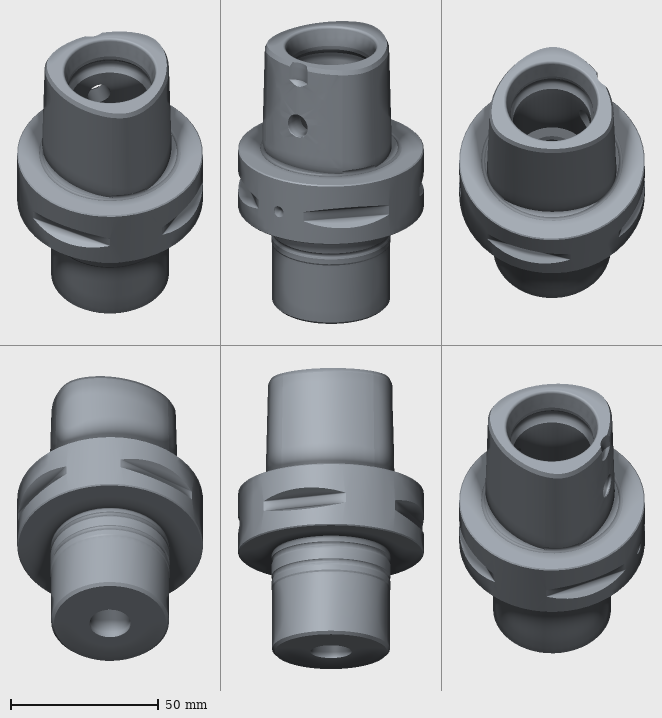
import cadquery as cq
import math

total_height = 95.0
shank_height = 38.0
flange_height = 22.0
flange_top_z = total_height - shank_height
flange_bottom_z = flange_top_z - flange_height
overlap = 0.95

lobe_count = 3
lobe_mean_diameter = 44.0
lobe_eccentricity = 1.4
shank_taper = 0.05
taper_start_height = 2.3
shank_chamfer_height = 1.5
shank_chamfer_width = 0.71
lobe_half_angle = 26.0
curve_steps = 8

flange_diameter = 63.0
flange_chamfer = 0.4
plateau_radius = 23.6
plateau_height = 0.2
relief_radius = 0.95
relief_ring_radius = 23.5
relief_center_height = 0.8

slot_count = 4
slot_z = 44.8
slot_floor_distance = 27.8
slot_floor_height = 3.4
slot_side_angle = 30.0
slot_corner_fillet = 0.4
index_hole_diameter = 4.0
index_hole_depth = 0.4

spindle_radius = 40.0 / 2
land_radius = 40.5 / 2
groove_bottom_radius = 19.8
neck_height = 1.1
neck_round_radius = 1.6
land_chamfer_height = 0.6
groove_height = 1.6
groove_edge_height = 0.2
first_land_height = 1.0
middle_land_height = 3.9
last_land_height = 1.8
spindle_end_chamfer = 0.95

mouth_radius = 16.3
mouth_round_radius = 1.0
upper_bore_radius = 15.4
upper_bore_start_depth = 0.8
throat_radius = 28.0 / 2
throat_start_depth = 6.5
throat_end_depth = 7.8
recess_radius = 15.2
recess_start_depth = 9.5
recess_end_depth = 10.5
seat_round_radius = 2.0
seat_radius = 14.6
seat_depth = 12.0
main_bore_radius = 13.3
main_bore_start_depth = seat_depth + seat_radius - main_bore_radius
main_bore_depth = shank_height
bolt_bore_mouth_radius = 9.8
bolt_bore_radius = 17.9 / 2
bolt_bore_depth = 19.0
through_radius = 14.0 / 2

drill_point_angle = 118.0
cross_hole_diameter = 8.1
cross_hole_z = 72.5
cross_hole_end_x = 15.2
cross_hole_chamfer = 0.3
notch_radius = 5.2
notch_inner_distance = 18.0
notch_depth = 6.4
notch_point_slope = 0.95


def ring_point(radius, depth):
    """Profile point at a radius and a depth below the top face."""
    return (radius, total_height - depth)


def lobe_outline(mean_diameter, z):
    """Closed three-lobed outline at height z, one curve per lobe and per flank."""
    def point(degrees):
        angle = math.radians(degrees)
        radius = mean_diameter / 2
        ecc = lobe_eccentricity
        x = radius * math.cos(angle) + 2 * ecc * math.cos(2 * angle) - ecc * math.cos(4 * angle)
        y = radius * math.sin(angle) - 2 * ecc * math.sin(2 * angle) - ecc * math.sin(4 * angle)
        return cq.Vector(x, y, z)

    def curve(start, sweep):
        angles = [start + sweep * i / curve_steps for i in range(curve_steps + 1)]
        return cq.Edge.makeSpline([point(angle) for angle in angles])

    lobe_spacing = 360 / lobe_count
    edges = []
    for i in range(lobe_count):
        lobe_angle = i * lobe_spacing
        edges.append(curve(lobe_angle - lobe_half_angle, 2 * lobe_half_angle))
        edges.append(curve(lobe_angle + lobe_half_angle, lobe_spacing - 2 * lobe_half_angle))
    return cq.Wire.assembleEdges(edges)


def shank_section(start_z, start_diameter, end_z, end_diameter):
    wires = [lobe_outline(start_diameter, start_z), lobe_outline(end_diameter, end_z)]
    return cq.Workplane(cq.Solid.makeLoft(wires, True))


def make_shank():
    taper_start_z = flange_top_z + taper_start_height
    chamfer_z = total_height - shank_chamfer_height
    foot_diameter = lobe_mean_diameter - shank_taper * taper_start_height
    shoulder_diameter = lobe_mean_diameter - shank_taper * (chamfer_z - flange_top_z)
    top_diameter = shoulder_diameter - 2 * shank_chamfer_width
    foot = shank_section(flange_top_z - overlap, foot_diameter, taper_start_z, foot_diameter)
    body = shank_section(taper_start_z, foot_diameter, chamfer_z, shoulder_diameter)
    tip = shank_section(chamfer_z, shoulder_diameter, total_height, top_diameter)
    return foot.union(body).union(tip)


def make_flange():
    disc = (
        cq.Workplane("XY", origin=(0, 0, flange_bottom_z))
        .circle(flange_diameter / 2).extrude(flange_height)
        .edges().chamfer(flange_chamfer)
    )
    plateau = (
        cq.Workplane("XY", origin=(0, 0, flange_top_z - overlap))
        .circle(plateau_radius).extrude(overlap + plateau_height)
    )
    return disc.union(plateau)


def make_relief_groove():
    return (
        cq.Workplane("XZ")
        .center(relief_ring_radius, flange_top_z + relief_center_height)
        .circle(relief_radius)
        .revolve(360, (-relief_ring_radius, 0), (-relief_ring_radius, 1))
    )


def make_spindle():
    z = flange_bottom_z
    profile = cq.Workplane("XZ").moveTo(0, z + overlap).lineTo(groove_bottom_radius, z + overlap)
    profile = profile.lineTo(groove_bottom_radius, z)
    z -= neck_height
    profile = profile.radiusArc((land_radius, z), neck_round_radius)
    for land_height in (first_land_height, middle_land_height):
        z -= land_height
        profile = profile.lineTo(land_radius, z)
        z -= groove_edge_height
        profile = profile.lineTo(spindle_radius, z)
        groove_end_z = z - groove_height + groove_edge_height
        profile = profile.threePointArc(
            (groove_bottom_radius, (z + groove_end_z) / 2), (spindle_radius, groove_end_z)
        )
        z = groove_end_z - land_chamfer_height
        profile = profile.lineTo(land_radius, z)
    z -= last_land_height
    profile = profile.lineTo(land_radius, z)
    z -= land_chamfer_height
    profile = profile.lineTo(spindle_radius, z)
    profile = profile.lineTo(spindle_radius, spindle_end_chamfer)
    profile = profile.lineTo(spindle_radius - spindle_end_chamfer, 0)
    return profile.lineTo(0, 0).close().revolve(360, (0, 0), (0, 1))


def make_bore():
    bolt_mouth_depth = main_bore_depth + bolt_bore_mouth_radius - bolt_bore_radius
    bolt_floor_depth = main_bore_depth + bolt_bore_depth
    point_height = (bolt_bore_radius - through_radius) / math.tan(math.radians(drill_point_angle / 2))
    return (
        cq.Workplane("XZ")
        .moveTo(*ring_point(0, 0))
        .lineTo(*ring_point(mouth_radius, 0))
        .radiusArc(ring_point(upper_bore_radius, upper_bore_start_depth), -mouth_round_radius)
        .lineTo(*ring_point(throat_radius, throat_start_depth))
        .lineTo(*ring_point(throat_radius, throat_end_depth))
        .lineTo(*ring_point(recess_radius, recess_start_depth))
        .lineTo(*ring_point(recess_radius, recess_end_depth))
        .radiusArc(ring_point(seat_radius, seat_depth), seat_round_radius)
        .lineTo(*ring_point(main_bore_radius, main_bore_start_depth))
        .lineTo(*ring_point(main_bore_radius, main_bore_depth))
        .lineTo(*ring_point(bolt_bore_mouth_radius, main_bore_depth))
        .lineTo(*ring_point(bolt_bore_radius, bolt_mouth_depth))
        .lineTo(*ring_point(bolt_bore_radius, bolt_floor_depth))
        .lineTo(*ring_point(through_radius, bolt_floor_depth + point_height))
        .lineTo(through_radius, 0)
        .lineTo(0, 0)
        .close()
        .revolve(360, (0, 0), (0, 1))
    )


def make_slots():
    """V-sided slots cut straight across the flange rim, between the axes."""
    outer = flange_diameter / 2 + overlap
    rise = (outer - slot_floor_distance) * math.tan(math.radians(slot_side_angle))
    half_floor = slot_floor_height / 2
    cutter = (
        cq.Workplane("XZ", origin=(0, 0, slot_z))
        .moveTo(slot_floor_distance, -half_floor)
        .lineTo(outer, -half_floor - rise)
        .lineTo(outer, half_floor + rise)
        .lineTo(slot_floor_distance, half_floor)
        .close()
        .extrude(flange_diameter / 2, both=True)
        .edges("|Y").edges("<X").fillet(slot_corner_fillet)
    )
    step = 360 / slot_count
    slots = cq.Workplane("XY")
    for i in range(slot_count):
        slots = slots.add(cutter.rotate((0, 0, 0), (0, 0, 1), step * (i + 0.5)))
    return slots.combine()


def make_drill(diameter, surface_x, depth, z):
    """Blind drilled hole entering from -X, with a conical point."""
    radius = diameter / 2
    outside_x = surface_x - radius
    tip_x = surface_x + depth + radius / math.tan(math.radians(drill_point_angle / 2))
    return (
        cq.Workplane("XZ", origin=(0, 0, z))
        .moveTo(outside_x, 0)
        .lineTo(outside_x, radius)
        .lineTo(surface_x + depth, radius)
        .lineTo(tip_x, 0)
        .close()
        .revolve(360, (0, 0), (1, 0))
    )


def make_countersink(diameter, surface_x, chamfer, z):
    """45 degree cone that breaks the mouth of a hole entering from -X."""
    cone_radius = diameter / 2 + chamfer
    return (
        cq.Workplane("XZ", origin=(0, 0, z))
        .moveTo(surface_x, 0)
        .lineTo(surface_x, cone_radius)
        .lineTo(surface_x + cone_radius, 0)
        .close()
        .revolve(360, (0, 0), (1, 0))
    )


def make_notch():
    """Round notch with a conical bottom in the top rim, leaning with the shank taper."""
    lean_angle = math.degrees(math.atan(shank_taper / 2))
    pivot = (-notch_inner_distance, 0, total_height)
    bottom_z = total_height - notch_depth
    return (
        cq.Workplane("XZ", origin=(-notch_inner_distance - notch_radius, 0, 0))
        .moveTo(0, total_height + overlap)
        .lineTo(notch_radius, total_height + overlap)
        .lineTo(notch_radius, bottom_z)
        .lineTo(0, bottom_z - notch_point_slope * notch_radius)
        .close()
        .revolve(360, (0, 0), (0, 1))
        .rotate(pivot, (pivot[0], 1, total_height), lean_angle)
    )


flat_side_x = (
    lobe_eccentricity - (lobe_mean_diameter - shank_taper * (cross_hole_z - flange_top_z)) / 2
)

result = make_flange().union(make_shank()).union(make_spindle())
result = result.cut(make_relief_groove()).cut(make_bore()).cut(make_slots())
result = result.cut(make_drill(cross_hole_diameter, flat_side_x, cross_hole_end_x - flat_side_x, cross_hole_z))
result = result.cut(make_countersink(cross_hole_diameter, flat_side_x, cross_hole_chamfer, cross_hole_z))
result = result.cut(make_drill(index_hole_diameter, -flange_diameter / 2, index_hole_depth, slot_z))
result = result.cut(make_notch())